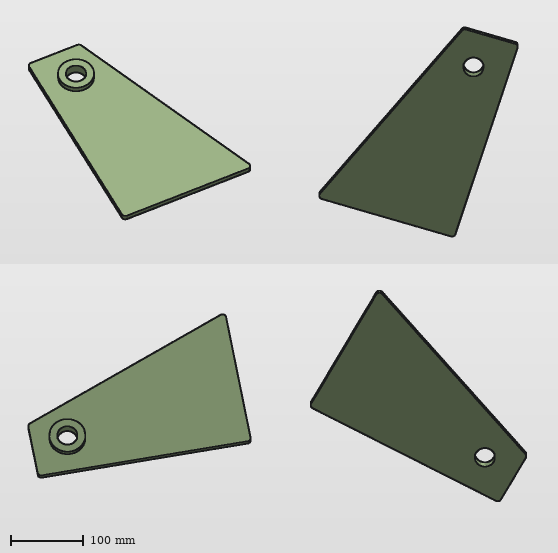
import cadquery as cq

plate_length = 300.0
short_side = 80.0
long_side = 200.0
corner_radius = 5.0

total_height = 16.0
plate_thickness = total_height / 2

boss_diameter = 50.0
hole_diameter = 28.0
boss_offset = 50.0


def make_plate():
    """Four-sided plate with one sloping edge and rounded corners."""
    outline = [
        (0, 0),
        (plate_length, 0),
        (plate_length, long_side),
        (0, short_side),
    ]
    plate = cq.Workplane("XY").polyline(outline).close().extrude(plate_thickness)
    return plate.edges("|Z").fillet(corner_radius)


def upright_cylinder(diameter):
    """Full-height cylinder on the boss axis."""
    return cq.Workplane("XY").center(boss_offset, boss_offset).circle(diameter / 2).extrude(total_height)


boss = upright_cylinder(boss_diameter)
hole = upright_cylinder(hole_diameter)
result = make_plate().union(boss).cut(hole)